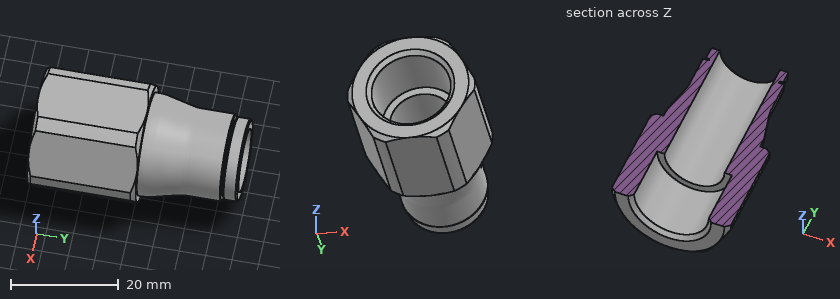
import cadquery as cq
import math

total_length = 39.0
hex_length = 20.5
hex_across_flats = 22.0
hex_corner_diameter = 24.0
hex_chamfer_length = 0.8

neck_diameter = 19.5
body_diameter = 16.5
taper_start = 22.2
taper_end = 28.7
taper_blend_radius = 6.0
body_end = 36.0
body_end_chamfer = 0.15

collar_diameter = 15.6
collar_start = 36.3
collar_chamfer = 0.25
groove_diameter = 14.2

through_diameter = 12.0
port_diameter = 14.95
port_mouth_diameter = 16.66
port_depth = 12.0


def revolve_about_axis(profile):
    """Revolve a closed (radius, Y) outline about the Y axis."""
    return profile.close().revolve(360, (0, 0, 0), (0, 1, 0))


def make_hexagon():
    """Hexagon with flats facing +Z and -Z and turned, chamfered corners."""
    corner_to_corner = hex_across_flats / math.cos(math.radians(30))
    prism = (
        cq.Workplane("XZ")
        .polygon(6, corner_to_corner)
        .extrude(-hex_length)
    )
    face_radius = hex_across_flats / 2
    corner_radius = hex_corner_diameter / 2
    turned_envelope = revolve_about_axis(
        cq.Workplane("XY")
        .lineTo(face_radius, 0)
        .lineTo(corner_radius, hex_chamfer_length)
        .lineTo(corner_radius, hex_length - hex_chamfer_length)
        .lineTo(face_radius, hex_length)
        .lineTo(0, hex_length)
    )
    return prism.intersect(turned_envelope)


def make_neck():
    """Neck cylinder, blended cone, body cylinder, groove and collar."""
    neck_radius = neck_diameter / 2
    body_radius = body_diameter / 2
    groove_radius = groove_diameter / 2
    collar_radius = collar_diameter / 2

    cone_angle = math.atan2(neck_radius - body_radius, taper_end - taper_start)
    tangent_length = taper_blend_radius * math.tan(cone_angle / 2)
    cone_side_length = tangent_length * math.cos(cone_angle)
    cone_side_radius_change = tangent_length * math.sin(cone_angle)

    return revolve_about_axis(
        cq.Workplane("XY")
        .moveTo(0, hex_length)
        .lineTo(neck_radius, hex_length)
        .lineTo(neck_radius, taper_start - tangent_length)
        .tangentArcPoint(
            (neck_radius - cone_side_radius_change, taper_start + cone_side_length),
            relative=False,
        )
        .lineTo(body_radius + cone_side_radius_change, taper_end - cone_side_length)
        .tangentArcPoint((body_radius, taper_end + tangent_length), relative=False)
        .lineTo(body_radius, body_end - body_end_chamfer)
        .lineTo(body_radius - body_end_chamfer, body_end)
        .lineTo(groove_radius, body_end)
        .lineTo(groove_radius, collar_start)
        .lineTo(collar_radius - collar_chamfer, collar_start)
        .lineTo(collar_radius, collar_start + collar_chamfer)
        .lineTo(collar_radius, total_length - collar_chamfer)
        .lineTo(collar_radius - collar_chamfer, total_length)
        .lineTo(0, total_length)
    )


def make_bores():
    """Through bore with a wider port that has a 45 degree mouth."""
    through_radius = through_diameter / 2
    port_radius = port_diameter / 2
    mouth_radius = port_mouth_diameter / 2
    mouth_depth = mouth_radius - port_radius
    return revolve_about_axis(
        cq.Workplane("XY")
        .lineTo(mouth_radius, 0)
        .lineTo(port_radius, mouth_depth)
        .lineTo(port_radius, port_depth)
        .lineTo(through_radius, port_depth)
        .lineTo(through_radius, total_length)
        .lineTo(0, total_length)
    )


result = make_hexagon().union(make_neck()).cut(make_bores())